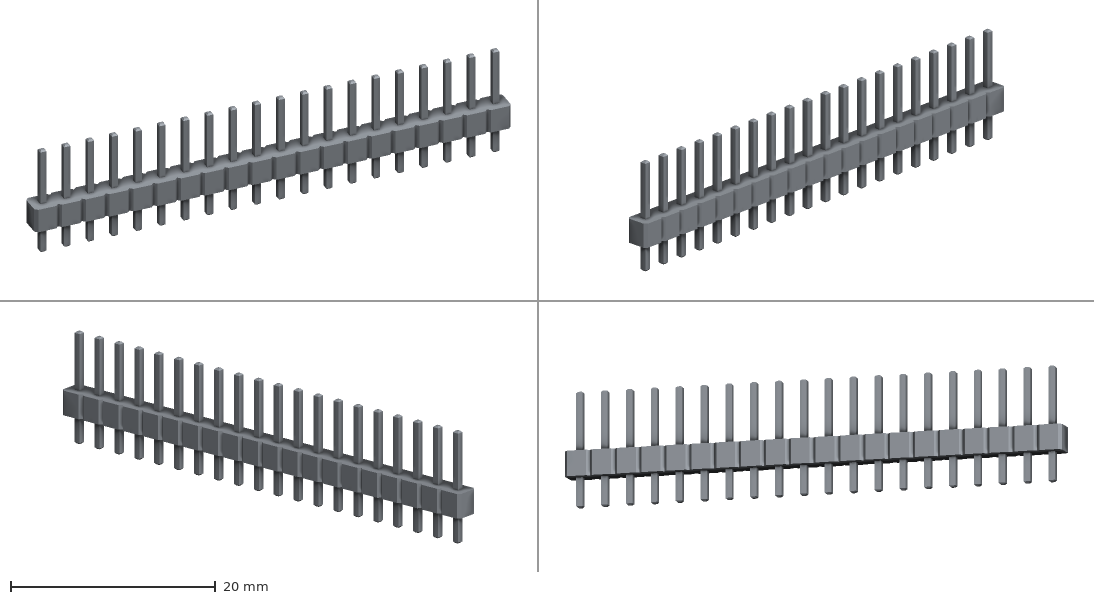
import cadquery as cq

pin_count = 20
row_length = 50.8
pitch = row_length / pin_count

body_width = 2.55
body_height = 2.55
corner_cut = 0.3

pin_width = 0.65
pin_above_body = 6.0
pin_below_body = 3.0
pin_tip_chamfer = 0.15


def pin_positions():
    """Y coordinates of the pins, centred on the row."""
    first_pin = -(row_length - pitch) / 2
    return [first_pin + index * pitch for index in range(pin_count)]


def body_segment():
    """One block with chamfered vertical corners; neighbours form V notches."""
    block = cq.Workplane("XY").box(body_width, pitch, body_height, centered=(True, True, False))
    return block.edges("|Z").chamfer(corner_cut)


def pin():
    """Square post through the body, tapered at both tips."""
    pin_length = pin_below_body + body_height + pin_above_body
    post = cq.Workplane("XY").box(pin_width, pin_width, pin_length, centered=(True, True, False))
    tapered = post.faces("<Z or >Z").chamfer(pin_tip_chamfer)
    return tapered.translate((0, 0, -pin_below_body))


pin_with_segment = body_segment().union(pin())

result = cq.Workplane("XY")
for y in pin_positions():
    result = result.union(pin_with_segment.translate((0, y, 0)))
result = result.clean()